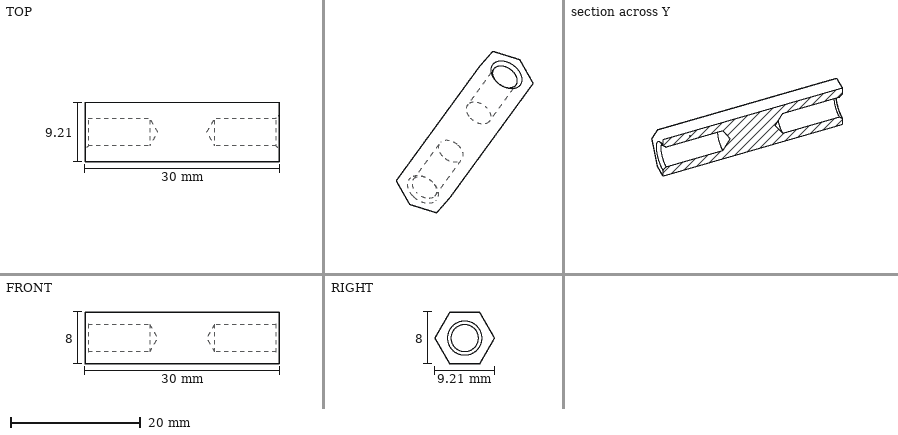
import cadquery as cq
import math

length = 30.0
across_flats = 8.0
edge_radius = 0.1

hole_diameter = 4.2
hole_depth = 10.0
drill_point_angle = 120.0
countersink_diameter = 5.3
countersink_angle = 90.0

across_corners = across_flats / math.cos(math.radians(30))
hole_radius = hole_diameter / 2
countersink_radius = countersink_diameter / 2


def cone_height(radius, included_angle):
    """Axial height over which a cone of the given included angle gains the radius."""
    return radius / math.tan(math.radians(included_angle / 2))


def hexagonal_bar():
    """Bar from X = 0 to X = length, flats facing up and down, all edges rounded."""
    bar = cq.Workplane("YZ").polygon(6, across_corners).extrude(length)
    return bar.edges().fillet(edge_radius)


def blind_hole():
    """Countersunk hole with a drill point, opening at X = 0 and running along +X."""
    countersink_depth = cone_height(countersink_radius - hole_radius, countersink_angle)
    point_depth = hole_depth + cone_height(hole_radius, drill_point_angle)
    half_section = (
        cq.Workplane("XY")
        .moveTo(0, 0)
        .lineTo(0, countersink_radius)
        .lineTo(countersink_depth, hole_radius)
        .lineTo(hole_depth, hole_radius)
        .lineTo(point_depth, 0)
        .close()
    )
    return half_section.revolve(360, (0, 0, 0), (1, 0, 0))


near_hole = blind_hole()
far_hole = near_hole.mirror("YZ").translate((length, 0, 0))

result = hexagonal_bar().cut(near_hole).cut(far_hole)